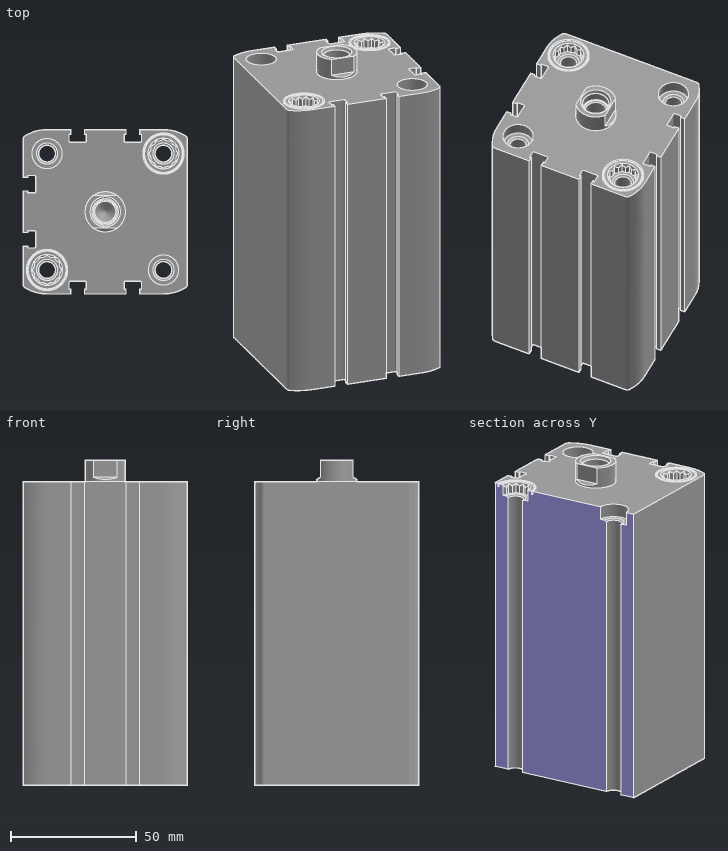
import cadquery as cq
import math


WIDTH = 65.5
HALF_WIDTH = WIDTH / 2
FLAT_HALF_LENGTH = 23.3
CORNER_RADIUS = 16.3
EDGE_RADIUS = 1.7

TOTAL_HEIGHT = 129.4
ROD_PROTRUSION = 8.5
HOUSING_HEIGHT = TOTAL_HEIGHT - ROD_PROTRUSION
CAP_HEIGHT = 15.1
BARREL_HEIGHT = HOUSING_HEIGHT - 2 * CAP_HEIGHT

SLOT_OFFSET = 11.0
SLOT_MOUTH_WIDTH = 5.3
SLOT_WIDTH = 6.7
SLOT_DEPTH = 5.0
SLOT_LIP = 2.0
SLOT_FLOOR_RADIUS = 0.4

HOLE_OFFSET = 23.2
HOLE_DIAMETER = 6.6
COUNTERSINK_DIAMETER = 8.4
COUNTERSINK_DEPTH = 0.5
RECESS_DIAMETER = 12.0
RECESS_DEPTH = 5.3

COLLAR_POCKET_DIAMETER = 16.4
COLLAR_DIAMETER = 15.5
COLLAR_TOP_DIAMETER = 15.0
COLLAR_CHAMFER = (COLLAR_DIAMETER - COLLAR_TOP_DIAMETER) / 2
GROOVE_DEPTH = 1.3
SOCKET_DEPTH = 4.5
SOCKET_POINT_DIAMETER = 11.6
SOCKET_MOUTH_DIAMETER = 12.3
SOCKET_CHAMFER_DEPTH = 1.4
SOCKET_INNER_DIAMETER = SOCKET_POINT_DIAMETER * math.cos(math.radians(30)) / math.cos(math.radians(15))

ROD_DIAMETER = 16.0
ROD_BOTTOM = HOUSING_HEIGHT - CAP_HEIGHT
FLAT_WIDTH = 13.0
FLAT_LENGTH = 6.7
FLAT_RUNOUT_ANGLE = 30.0
ROD_MOUTH_DIAMETER = 12.0
ROD_COUNTERBORE_DIAMETER = 10.5
ROD_MOUTH_DEPTH = 1.3
ROD_COUNTERBORE_DEPTH = 5.2
ROD_HOLE_DIAMETER = 8.4
ROD_HOLE_DEPTH = 15.5
ROD_COUNTERSINK_DIAMETER = 9.5
ROD_COUNTERSINK_DEPTH = 0.5
DRILL_TIP_ANGLE = 118.0


def disc(diameter, z_bottom, height):
    """Upright cylinder on the Z axis."""
    return cq.Workplane("XY").workplane(offset=z_bottom).circle(diameter / 2).extrude(height)


def cone(bottom_diameter, top_diameter, z_bottom, height):
    """Upright cone or frustum on the Z axis."""
    base = cq.Vector(0, 0, z_bottom)
    return cq.Workplane(cq.Solid.makeCone(bottom_diameter / 2, top_diameter / 2, height, base))



def housing_section(z_bottom, height):
    """Slice of the plain housing, with an arc and a small rounding at each corner."""
    arc_center_y = HALF_WIDTH - CORNER_RADIUS
    center_gap = CORNER_RADIUS - EDGE_RADIUS
    center_dx = HALF_WIDTH - EDGE_RADIUS - FLAT_HALF_LENGTH
    center_dy = math.sqrt(center_gap**2 - center_dx**2)
    side_half_length = arc_center_y + center_dy
    contact_x = FLAT_HALF_LENGTH + CORNER_RADIUS * center_dx / center_gap
    contact_y = arc_center_y + CORNER_RADIUS * center_dy / center_gap

    quarter = (
        cq.Workplane("XY", origin=(0, 0, z_bottom))
        .lineTo(0, HALF_WIDTH)
        .lineTo(FLAT_HALF_LENGTH, HALF_WIDTH)
        .tangentArcPoint((contact_x, contact_y), relative=False)
        .tangentArcPoint((HALF_WIDTH, side_half_length), relative=False)
        .lineTo(HALF_WIDTH, 0)
        .close()
        .extrude(height)
    )
    half = quarter.union(quarter.mirror("YZ"))
    return half.union(half.mirror("XZ"))


def t_slot(offset):
    """T-slot over the full housing height, open towards -Y."""
    mouth = cq.Workplane("XY").box(
        SLOT_MOUTH_WIDTH, SLOT_DEPTH, HOUSING_HEIGHT, centered=(True, False, False)
    )
    undercut = (
        cq.Workplane("XY")
        .box(SLOT_WIDTH, SLOT_DEPTH - SLOT_LIP, HOUSING_HEIGHT, centered=(True, False, False))
        .translate((0, SLOT_LIP, 0))
        .edges("|Z and >Y")
        .fillet(SLOT_FLOOR_RADIUS)
    )
    return mouth.union(undercut).translate((offset, -HALF_WIDTH, 0))


def through_hole(countersink_top):
    """Hole through the whole housing, with a countersink below the given height."""
    hole = disc(HOLE_DIAMETER, 0, HOUSING_HEIGHT)
    countersink = cone(
        HOLE_DIAMETER, COUNTERSINK_DIAMETER, countersink_top - COUNTERSINK_DEPTH, COUNTERSINK_DEPTH
    )
    return hole.union(countersink)


def recessed_hole():
    """Through hole at the bottom of a round recess."""
    recess_floor = HOUSING_HEIGHT - RECESS_DEPTH
    return through_hole(recess_floor).union(disc(RECESS_DIAMETER, recess_floor, RECESS_DEPTH))


def collar_groove():
    """Ring-shaped gap between the collar, chamfered at its top, and its pocket."""
    floor = HOUSING_HEIGHT - GROOVE_DEPTH
    chamfer_bottom = HOUSING_HEIGHT - COLLAR_CHAMFER
    collar = disc(COLLAR_DIAMETER, floor, GROOVE_DEPTH - COLLAR_CHAMFER).union(
        cone(COLLAR_DIAMETER, COLLAR_TOP_DIAMETER, chamfer_bottom, COLLAR_CHAMFER)
    )
    return disc(COLLAR_POCKET_DIAMETER, floor, GROOVE_DEPTH).cut(collar)


def twelve_point_socket():
    """Socket of two hexagons turned by 30 degrees, with a conical mouth and a through hole below."""
    floor = HOUSING_HEIGHT - SOCKET_DEPTH
    socket = through_hole(floor)
    for turn in (0, 30):
        hexagon = (
            cq.Workplane("XY", origin=(0, 0, floor))
            .polygon(6, SOCKET_POINT_DIAMETER)
            .extrude(SOCKET_DEPTH)
            .rotate((0, 0, 0), (0, 0, 1), turn)
        )
        socket = socket.union(hexagon)
    mouth = cone(
        SOCKET_INNER_DIAMETER,
        SOCKET_MOUTH_DIAMETER,
        HOUSING_HEIGHT - SOCKET_CHAMFER_DEPTH,
        SOCKET_CHAMFER_DEPTH,
    )
    return socket.union(mouth)


def rod_bore():
    """Blind bore that holds the piston rod."""
    return disc(ROD_DIAMETER, ROD_BOTTOM, HOUSING_HEIGHT - ROD_BOTTOM)


def make_housing():
    body = housing_section(0, CAP_HEIGHT)
    body = body.union(housing_section(CAP_HEIGHT, BARREL_HEIGHT), clean=False)
    body = body.union(housing_section(HOUSING_HEIGHT - CAP_HEIGHT, CAP_HEIGHT), clean=False)

    for face_angle in (0, 180, 270):
        for offset in (-SLOT_OFFSET, SLOT_OFFSET):
            slot = t_slot(offset).rotate((0, 0, 0), (0, 0, 1), face_angle)
            body = body.cut(slot, clean=False)

    for side in (-1, 1):
        recess_place = (side * HOLE_OFFSET, -side * HOLE_OFFSET, 0)
        collar_place = (side * HOLE_OFFSET, side * HOLE_OFFSET, 0)
        body = body.cut(recessed_hole().translate(recess_place), clean=False)
        body = body.cut(collar_groove().translate(collar_place), clean=False)
        body = body.cut(twelve_point_socket().translate(collar_place), clean=False)

    return body.cut(rod_bore(), clean=False)



def wrench_flat_cut():
    """Cutter for the flat on the -Y side; its lower end slopes down and outwards."""
    flat_y = -FLAT_WIDTH / 2
    outer_y = -ROD_DIAMETER
    flat_bottom = TOTAL_HEIGHT - FLAT_LENGTH
    slope_bottom = flat_bottom + (outer_y - flat_y) * math.tan(math.radians(FLAT_RUNOUT_ANGLE))
    return (
        cq.Workplane("YZ")
        .polyline([
            (flat_y, TOTAL_HEIGHT),
            (flat_y, flat_bottom),
            (outer_y, slope_bottom),
            (outer_y, TOTAL_HEIGHT),
        ])
        .close()
        .extrude(ROD_DIAMETER / 2, both=True)
    )


def rod_hole():
    """Stepped hole in the rod end, with a chamfered mouth and a conical drill tip."""
    hole_bottom = TOTAL_HEIGHT - ROD_HOLE_DEPTH
    tip_height = ROD_HOLE_DIAMETER / 2 / math.tan(math.radians(DRILL_TIP_ANGLE / 2))
    mouth = cone(
        ROD_COUNTERBORE_DIAMETER, ROD_MOUTH_DIAMETER, TOTAL_HEIGHT - ROD_MOUTH_DEPTH, ROD_MOUTH_DEPTH
    )
    counterbore = disc(
        ROD_COUNTERBORE_DIAMETER, TOTAL_HEIGHT - ROD_COUNTERBORE_DEPTH, ROD_COUNTERBORE_DEPTH
    )
    drilled = disc(ROD_HOLE_DIAMETER, hole_bottom, ROD_HOLE_DEPTH)
    tip = cone(0, ROD_HOLE_DIAMETER, hole_bottom - tip_height, tip_height)
    countersink = cone(
        ROD_HOLE_DIAMETER,
        ROD_COUNTERSINK_DIAMETER,
        TOTAL_HEIGHT - ROD_COUNTERBORE_DEPTH - ROD_COUNTERSINK_DEPTH,
        ROD_COUNTERSINK_DEPTH,
    )
    return drilled.union(tip).union(countersink).union(counterbore).union(mouth)


def make_rod():
    rod = disc(ROD_DIAMETER, ROD_BOTTOM, TOTAL_HEIGHT - ROD_BOTTOM)
    flat = wrench_flat_cut()
    rod = rod.cut(flat).cut(flat.mirror("XZ"))
    return rod.cut(rod_hole())


housing = make_housing()
rod = make_rod()
result = cq.Compound.makeCompound([housing.val(), rod.val()])